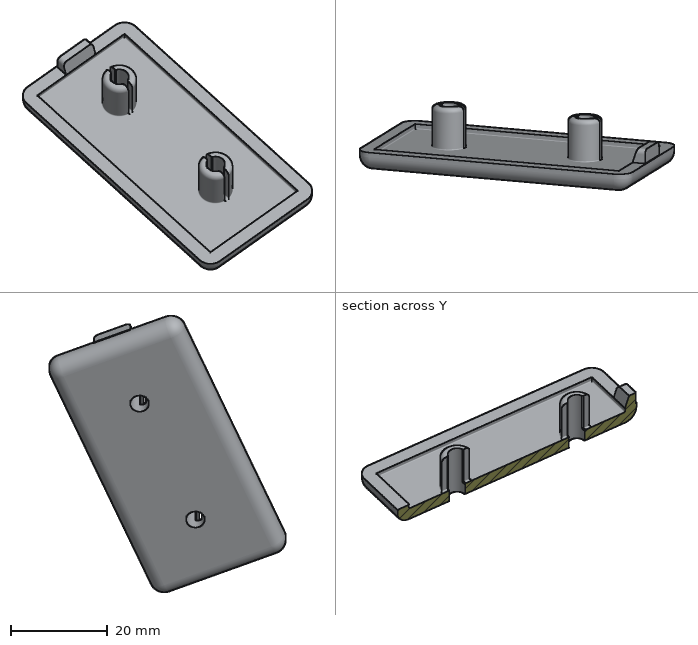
import cadquery as cq

plate_length = 60.0
plate_width = 30.0
plate_thickness = 4.0
edge_radius = 3.0

rim_width = 3.0
recess_depth = 1.0
floor_z = plate_thickness - recess_depth

post_top_z = 11.8
post_spacing = 30.0
post_diameter = 7.0
post_radius = post_diameter / 2
post_top_fillet = 1.0
post_bore_radius = 1.9
post_slot_width = 1.1
slot_corner_chamfer = 0.2
root_fillet = 0.2
post_base_radius = post_radius + root_fillet

tab_inset = 0.2
tab_width = 8.1
tab_height = 2.95
tab_top_length = 1.8
tab_corner_fillet = 1.0


def make_plate():
    """Rectangular plate with rounded plan corners and a fully rounded lower edge."""
    block = cq.Workplane("XY").box(plate_length, plate_width, plate_thickness, centered=(True, True, False))
    block = block.edges("|Z").fillet(edge_radius)
    return block.faces("<Z").edges().fillet(edge_radius)


def make_recess():
    """Shallow rectangular pocket, rounded where its walls meet the floor."""
    block = cq.Workplane("XY").workplane(offset=floor_z).box(
        plate_length - 2 * rim_width,
        plate_width - 2 * rim_width,
        recess_depth,
        centered=(True, True, False),
    )
    return block.faces("<Z").edges().fillet(root_fillet)


def make_post():
    """Solid of revolution with a rounded top and a flared base, centred on the Z axis."""
    embedded_z = floor_z / 2
    shoulder_z = post_top_z - post_top_fillet
    profile = (
        cq.Workplane("XZ")
        .moveTo(0, embedded_z)
        .lineTo(post_base_radius, embedded_z)
        .lineTo(post_base_radius, floor_z)
        .radiusArc((post_radius, floor_z + root_fillet), root_fillet)
        .lineTo(post_radius, shoulder_z)
        .radiusArc((post_radius - post_top_fillet, post_top_z), -post_top_fillet)
        .lineTo(0, post_top_z)
        .close()
    )
    return profile.revolve(360, (0, 0, 0), (0, 1, 0))


def is_bore_corner(edge):
    """True for the four upright edges where the slot walls meet the bore."""
    centre = edge.Center()
    return abs(centre.x) < post_bore_radius and abs(centre.y) > post_slot_width / 4


def make_post_cut():
    """Bore through post and plate, plus the slot that splits the post down to the floor."""
    bore = cq.Workplane("XY").circle(post_bore_radius).extrude(post_top_z)
    slot_length = 2 * post_base_radius
    slot = cq.Workplane("XY").workplane(offset=floor_z).box(
        slot_length, post_slot_width, post_top_z - floor_z, centered=(True, True, False)
    )
    slot = slot.faces("<Z").edges("|X").fillet(root_fillet)
    cut = bore.union(slot)
    cut = cut.edges("|Z").filter(is_bore_corner).chamfer(slot_corner_chamfer)
    return cut.union(make_floor_lip())


def make_floor_lip():
    """Two short arcs of material whose removal rounds the edge where the slot floor drops into the bore."""
    lip_radius = post_bore_radius + root_fillet
    ring = (
        cq.Workplane("XZ")
        .moveTo(post_bore_radius, floor_z - root_fillet)
        .radiusArc((lip_radius, floor_z), root_fillet)
        .lineTo(post_bore_radius, floor_z)
        .close()
        .revolve(360, (0, 0, 0), (0, 1, 0))
    )
    slot_span = cq.Workplane("XY").box(2 * lip_radius, post_slot_width - 2 * root_fillet, 2 * plate_thickness)
    return ring.intersect(slot_span)


def make_tab():
    """Tab with an upright outer face, a sloping inner face and rounded upper corners."""
    outer_x = -plate_length / 2 + tab_inset
    inner_x = -plate_length / 2 + rim_width
    top_z = plate_thickness + tab_height
    return (
        cq.Workplane("XZ")
        .polyline([
            (outer_x, plate_thickness),
            (inner_x, plate_thickness),
            (outer_x + tab_top_length, top_z),
            (outer_x, top_z),
        ])
        .close()
        .extrude(tab_width / 2, both=True)
        .faces(">Z").edges("|X").fillet(tab_corner_fillet)
    )


result = make_plate().cut(make_recess()).union(make_tab())
for post_x in (-post_spacing / 2, post_spacing / 2):
    result = result.union(make_post().translate((post_x, 0, 0)))
    result = result.cut(make_post_cut().translate((post_x, 0, 0)))